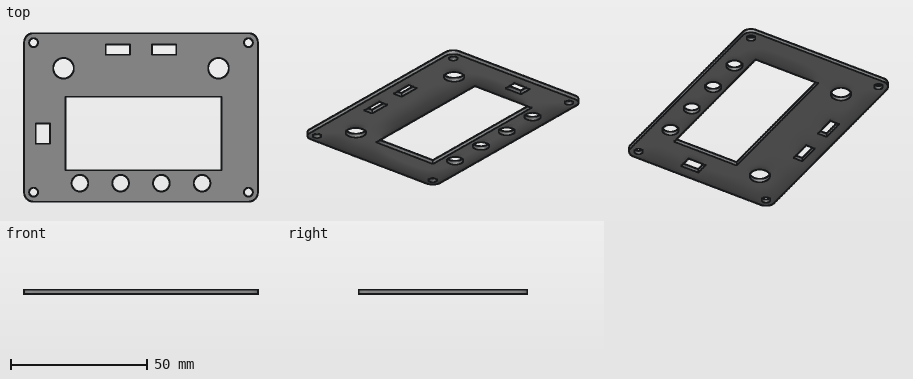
import cadquery as cq

length = 86.0
width = 62.0
thickness = 1.6
corner_radius = 3.5

mount_diameter = 3.2
mount_x = length / 2 - corner_radius
mount_y = width / 2 - corner_radius

large_diameter = 7.5
large_x = 28.5
large_y = 18.1

button_diameter = 6.0
button_count = 4
button_pitch = 15.0
button_row_y = -24.2

window_length = 57.2
window_width = 26.9
window_x = 0.95
window_y = -5.9

back_slot_length = 8.8
back_slot_width = 3.7
back_slot_x = 8.5
back_slot_y = 24.9

side_slot_length = 5.2
side_slot_width = 7.3
side_slot_x = -36.0


def cut_holes(body, points, diameter):
    """Cut round through holes at points measured from the plate centre."""
    return body.faces(">Z").workplane(origin=(0, 0, 0)).pushPoints(points).hole(diameter)


def cut_rectangles(body, points, size_x, size_y):
    """Cut rectangular openings at points measured from the plate centre."""
    top = body.faces(">Z").workplane(origin=(0, 0, 0))
    return top.pushPoints(points).rect(size_x, size_y).cutThruAll()


mount_points = [(x, y) for x in (-mount_x, mount_x) for y in (-mount_y, mount_y)]
large_points = [(-large_x, large_y), (large_x, large_y)]
button_points = [
    ((i - (button_count - 1) / 2) * button_pitch, button_row_y) for i in range(button_count)
]
back_slot_points = [(-back_slot_x, back_slot_y), (back_slot_x, back_slot_y)]

plate = cq.Workplane("XY").box(length, width, thickness).edges("|Z").fillet(corner_radius)
plate = cut_holes(plate, mount_points, mount_diameter)
plate = cut_holes(plate, large_points, large_diameter)
plate = cut_holes(plate, button_points, button_diameter)
plate = cut_rectangles(plate, [(window_x, window_y)], window_length, window_width)
plate = cut_rectangles(plate, back_slot_points, back_slot_length, back_slot_width)
plate = cut_rectangles(plate, [(side_slot_x, window_y)], side_slot_length, side_slot_width)

result = plate